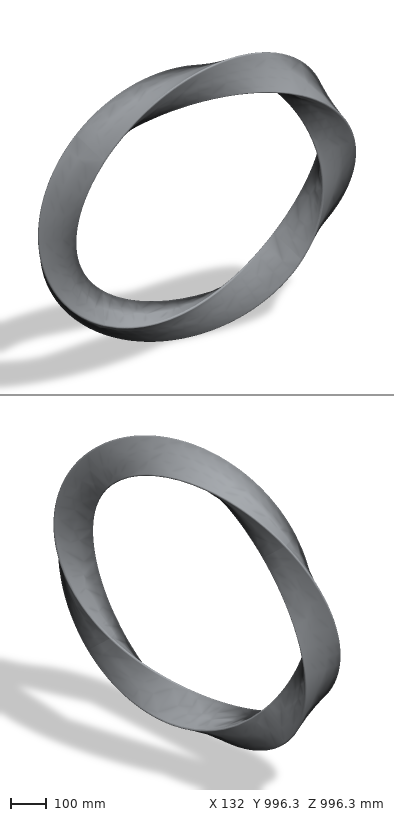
import cadquery as cq
import math

ring_radius = 439.0
corner_reach = 66.0
corner_round = 4.0
corner_count = 3
corner_step = 360 / corner_count
quarter_count = 4
quarter_angle = 360 / quarter_count
start_angle = 45.0
sections_per_quarter = 12


def polar(radius, degrees):
    angle = math.radians(degrees)
    return cq.Vector(radius * math.cos(angle), radius * math.sin(angle))


def section_wire(lap_angle, turn):
    """Rounded triangle across the ring; local x points outward and local y along -X."""
    outward = cq.Vector(0, math.cos(math.radians(lap_angle)), math.sin(math.radians(lap_angle)))
    along = outward.cross(cq.Vector(-1, 0, 0))
    plane = cq.Plane(outward * ring_radius, outward, along)
    arcs = []
    for corner in range(corner_count):
        direction = turn + corner * corner_step
        centre = polar(corner_reach - corner_round, direction)
        arc_points = [
            plane.toWorldCoords(centre + polar(corner_round, direction + offset))
            for offset in (-corner_step / 2, 0, corner_step / 2)
        ]
        arcs.append(cq.Edge.makeThreePointArc(*arc_points))
    edges = []
    for corner, arc in enumerate(arcs):
        next_arc = arcs[(corner + 1) % corner_count]
        edges += [arc, cq.Edge.makeLine(arc.endPoint(), next_arc.startPoint())]
    return cq.Wire.assembleEdges(edges)


def twisted_quarter():
    """Quarter of the ring; a flat side faces -X at both of its ends."""
    wires = []
    for index in range(sections_per_quarter + 1):
        fraction = index / sections_per_quarter
        lap_angle = start_angle + fraction * quarter_angle
        turn = corner_step / 4 - fraction * corner_step
        wires.append(section_wire(lap_angle, turn))
    return cq.Workplane(cq.Solid.makeLoft(wires))


quarter = twisted_quarter()
result = quarter
for index in range(1, quarter_count):
    result = result.union(quarter.rotate((0, 0, 0), (1, 0, 0), index * quarter_angle))